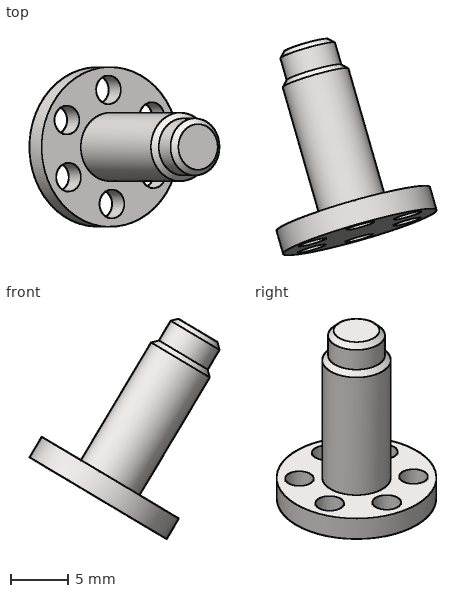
import cadquery as cq

tilt_angle = 30.8
flange_diameter = 14.0
flange_thickness = 2.1
shaft_diameter = 6.0
tip_diameter = 5.0
shoulder_height = 14.6
overall_length = 17.1
chamfer_size = 0.5
hole_count = 6
hole_diameter = 2.5
hole_circle_radius = 5.0
first_hole_angle = 32.0


def cylinder(diameter, height):
    """Cylinder standing on the flange underside."""
    return cq.Workplane("XY").circle(diameter / 2).extrude(height)


flange = cylinder(flange_diameter, flange_thickness)
shaft = cylinder(shaft_diameter, shoulder_height).faces(">Z").chamfer(chamfer_size)
tip = cylinder(tip_diameter, overall_length).faces(">Z").chamfer(chamfer_size)

holes = (
    cq.Workplane("XY")
    .polarArray(hole_circle_radius, first_hole_angle, 360, hole_count)
    .circle(hole_diameter / 2)
    .extrude(flange_thickness)
)

pin = flange.cut(holes).union(shaft).union(tip)

result = pin.rotate((0, 0, 0), (0, 1, 0), tilt_angle)